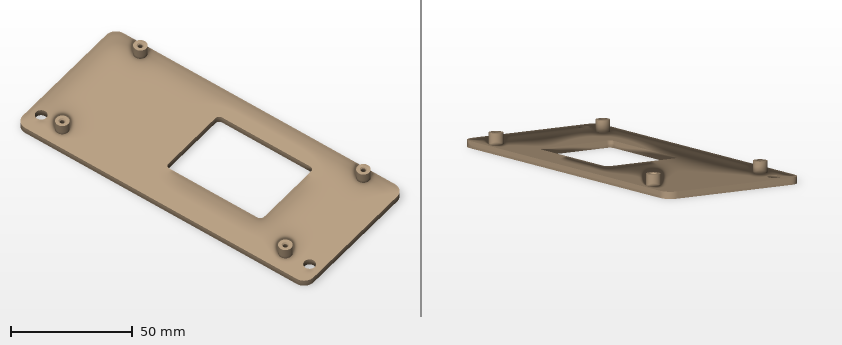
import cadquery as cq

plate_length = 150.0
plate_width = 66.8
plate_thickness = 3.0
plate_corner_radius = 5.0

window_length = 49.4
window_width = 35.8
window_center = (13.6, 2.2)
window_corner_radius = 2.0

standoff_height = 5.0
standoff_diameter = 6.0
standoff_bore = 2.0
countersink_diameter = 3.0
standoff_spacing_x = 115.0
standoff_spacing_y = 53.1
standoff_center_y = 2.0

mount_diameter = 5.2
mount_spacing = 138.5
mount_y = -23.5


def rounded_block(length, width, height, radius):
    return cq.Workplane("XY").rect(length, width).extrude(height).edges("|Z").fillet(radius)


def standoff_cylinders(diameter, start_z, height, taper=0):
    """Four cylinders, or cones when tapered, at the standoff positions."""
    return (
        cq.Workplane("XY", origin=(0, standoff_center_y, start_z))
        .rarray(standoff_spacing_x, standoff_spacing_y, 2, 2)
        .circle(diameter / 2)
        .extrude(height, taper=taper)
    )


plate = rounded_block(plate_length, plate_width, plate_thickness, plate_corner_radius)

window = rounded_block(window_length, window_width, plate_thickness, window_corner_radius)
window = window.translate((*window_center, 0))

mount_holes = (
    cq.Workplane("XY")
    .pushPoints([(side * mount_spacing / 2, mount_y) for side in (-1, 1)])
    .circle(mount_diameter / 2)
    .extrude(plate_thickness)
)

standoffs = standoff_cylinders(standoff_diameter, plate_thickness, standoff_height)
bores = standoff_cylinders(standoff_bore, 0, plate_thickness + standoff_height)

countersink_depth = (countersink_diameter - standoff_bore) / 2
standoff_top = plate_thickness + standoff_height
countersinks = standoff_cylinders(countersink_diameter, standoff_top, -countersink_depth, taper=45)

result = plate.cut(window).cut(mount_holes).union(standoffs).cut(bores).cut(countersinks)